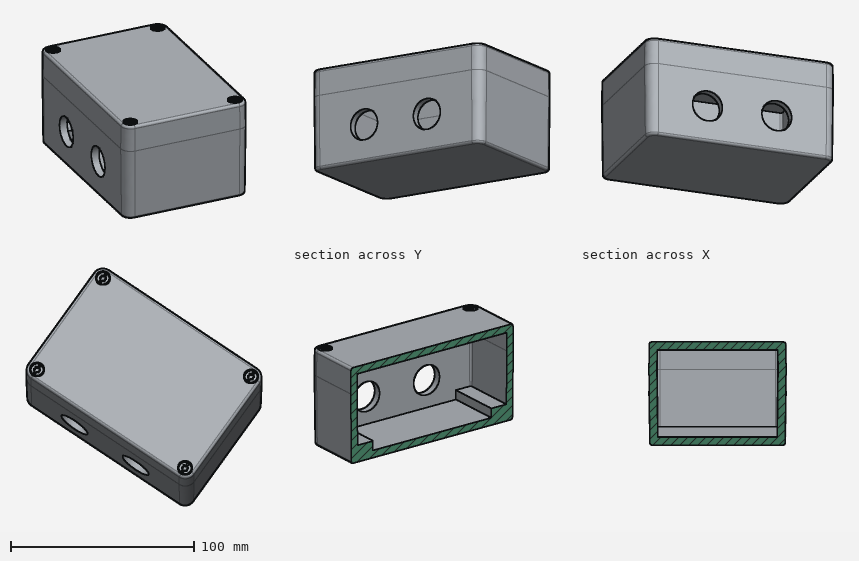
import cadquery as cq

length = 110.0
width = 75.0
height = 56.5
lid_height = 15.1
base_height = height - lid_height
parting_z = height / 2 - lid_height
corner_radius = 5.9
draft_angle = 0.7
edge_fillet = 1.5

wall = 4.6
floor_z = -height / 2 + wall

pad_height = 5.5
pad_reach = 15.2

entry_diameter = 17.4
entry_spacing = 40.5
entry_z = -7.6

screw_x = length / 2 - corner_radius
screw_y = width / 2 - corner_radius
well_diameter = 7.8
head_diameter = 6.8
head_recess = 0.5
well_depth = 1.1

slot_width = 1.1
slot_depth = 0.4

lobe_count = 6
socket_radius = 1.9
socket_valley_radius = 1.3
socket_flute_radius = 0.9
socket_depth = 1.6
socket_tip_depth = 0.4


def drafted_block(inset, block_height, direction):
    """Rounded rectangle that narrows away from the parting plane, up (1) or down (-1)."""
    outline = cq.Sketch().rect(length - 2 * inset, width - 2 * inset)
    outline = outline.vertices().fillet(corner_radius - inset)
    block = cq.Workplane("XY").placeSketch(outline).extrude(block_height, taper=draft_angle)
    if direction < 0:
        block = block.mirror("XY")
    return block.translate((0, 0, parting_z))


def outer_body():
    base = drafted_block(0, base_height, -1).faces("<Z").edges().fillet(edge_fillet)
    lid = drafted_block(0, lid_height, 1).faces(">Z").edges().fillet(edge_fillet)
    return base.union(lid)


def cavity():
    """Hollow with walls of even thickness, keeping the end pads as solid material."""
    hollow = drafted_block(wall, base_height - wall, -1)
    hollow = hollow.union(drafted_block(wall, lid_height - wall, 1))
    pad_centre_x = (length - pad_reach) / 2
    pads = (
        cq.Workplane("XY", origin=(0, 0, floor_z))
        .pushPoints([(-pad_centre_x, 0), (pad_centre_x, 0)])
        .rect(pad_reach, width)
        .extrude(pad_height)
    )
    return hollow.cut(pads)


def cable_entries():
    return (
        cq.Workplane("XZ", origin=(0, 0, entry_z))
        .pushPoints([(-entry_spacing / 2, 0), (entry_spacing / 2, 0)])
        .circle(entry_diameter / 2)
        .extrude(width, both=True)
    )


def drive_socket():
    """Six-lobed socket with a shallow conical bottom, opening at z = 0."""
    tip_z = -socket_depth - socket_tip_depth
    blank = (
        cq.Workplane("XZ")
        .polyline([(0, 0), (socket_radius, 0), (socket_radius, -socket_depth), (0, tip_z)])
        .close()
        .revolve(360, (0, 0), (0, 1))
    )
    flutes = (
        cq.Workplane("XY", origin=(0, 0, tip_z))
        .polarArray(socket_valley_radius + socket_flute_radius, 0, 360, lobe_count)
        .circle(socket_flute_radius)
        .extrude(-tip_z)
    )
    return blank.cut(flutes)


def screw_recess():
    """Material removed above, around and in one screw head; the lid surface is z = 0."""
    well = cq.Workplane("XY").circle(well_diameter / 2).extrude(-well_depth)
    head_height = well_depth - head_recess
    head = cq.Workplane("XY", origin=(0, 0, -well_depth)).circle(head_diameter / 2).extrude(head_height)
    slot_bottom = -head_recess - slot_depth
    slot = cq.Workplane("XY", origin=(0, 0, slot_bottom)).rect(slot_width, head_diameter).extrude(slot_depth)
    slot = slot.intersect(cq.Workplane("XY").circle(head_diameter / 2).extrude(slot_bottom))
    socket = drive_socket().translate((0, 0, -head_recess))
    return well.cut(head).union(slot).union(socket)


result = outer_body().cut(cavity()).cut(cable_entries())
for x in (-screw_x, screw_x):
    for y in (-screw_y, screw_y):
        result = result.cut(screw_recess().translate((x, y, height / 2)))